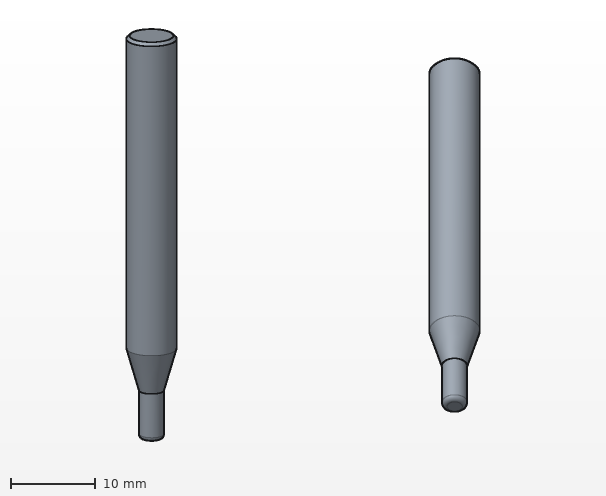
import cadquery as cq

total_length = 50.0
shank_diameter = 6.0
cutter_diameter = shank_diameter / 2

cutter_length = 6.0
cone_length = 5.25

tip_corner_radius = 0.6
shank_chamfer = 0.4


def make_cutter():
    """Cylindrical cutting head with a rounded corner at its tip."""
    head = cq.Workplane("XY").circle(cutter_diameter / 2).extrude(cutter_length)
    return head.faces("<Z").edges().fillet(tip_corner_radius)


def make_shank():
    """Straight shank with a cone down to the cutter and a chamfered upper end."""
    shank_radius = shank_diameter / 2
    cone_top = cutter_length + cone_length
    half_profile = (
        cq.Workplane("XZ")
        .moveTo(0, cutter_length)
        .lineTo(cutter_diameter / 2, cutter_length)
        .lineTo(shank_radius, cone_top)
        .lineTo(shank_radius, total_length)
        .lineTo(0, total_length)
        .close()
    )
    shank = half_profile.revolve(360, (0, 0, 0), (0, 1, 0))
    return shank.faces(">Z").edges().chamfer(shank_chamfer)


cutter = make_cutter()
shank = make_shank()

result = cq.Compound.makeCompound([cutter.val(), shank.val()])